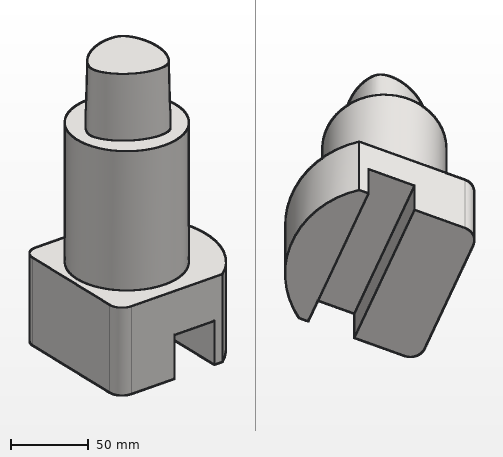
import cadquery as cq
import math

total_height = 213.0
base_height = 64.0
shank_height = 101.2
taper_height = total_height - base_height - shank_height

base_width = 102.0
base_back_radius = 64.0
base_depth = 108.8
base_front_y = base_back_radius - base_depth
front_corner_radius = 10.0

slot_width = 32.0
slot_height = base_height / 2

shank_diameter = 80.0

tip_bottom_radius = 27.5
tip_taper_ratio = 1 / 20
tip_top_radius = tip_bottom_radius - taper_height * tip_taper_ratio / 2
eccentricity = 2.1
outline_points = 36


def make_base():
    """Block with a rounded back, rounded front corners and a crosswise slot."""
    half_width = base_width / 2
    back_corner_y = math.sqrt(base_back_radius**2 - half_width**2)
    block = (
        cq.Workplane("XY")
        .moveTo(-half_width, base_front_y)
        .lineTo(half_width, base_front_y)
        .lineTo(half_width, back_corner_y)
        .threePointArc((0, base_back_radius), (-half_width, back_corner_y))
        .close()
        .extrude(base_height)
        .edges("|Z and <Y")
        .fillet(front_corner_radius)
    )
    slot = cq.Workplane("XY").box(base_width, slot_width, slot_height, centered=(True, False, False))
    return block.cut(slot)


def make_shank():
    """Cylinder standing on the base."""
    return cq.Workplane("XY", origin=(0, 0, base_height)).circle(shank_diameter / 2).extrude(shank_height)


def lobe_point(mean_radius, angle):
    """Point of the three-lobed outline, with one lobe pointing along -Y."""
    across = mean_radius * math.sin(angle) - eccentricity * (2 * math.sin(2 * angle) + math.sin(4 * angle))
    along = mean_radius * math.cos(angle) + eccentricity * (2 * math.cos(2 * angle) - math.cos(4 * angle))
    return across, -along


def lobe_outline(mean_radius):
    """Points of the whole three-lobed outline, evenly spaced in angle."""
    step = 2 * math.pi / outline_points
    return [lobe_point(mean_radius, i * step) for i in range(outline_points)]


def make_tip():
    """Tapered three-lobed tip on top of the shank."""
    return (
        cq.Workplane("XY", origin=(0, 0, base_height + shank_height))
        .spline(lobe_outline(tip_bottom_radius), periodic=True)
        .close()
        .workplane(offset=taper_height)
        .spline(lobe_outline(tip_top_radius), periodic=True)
        .close()
        .loft(ruled=True)
    )


result = make_base().union(make_shank()).union(make_tip())